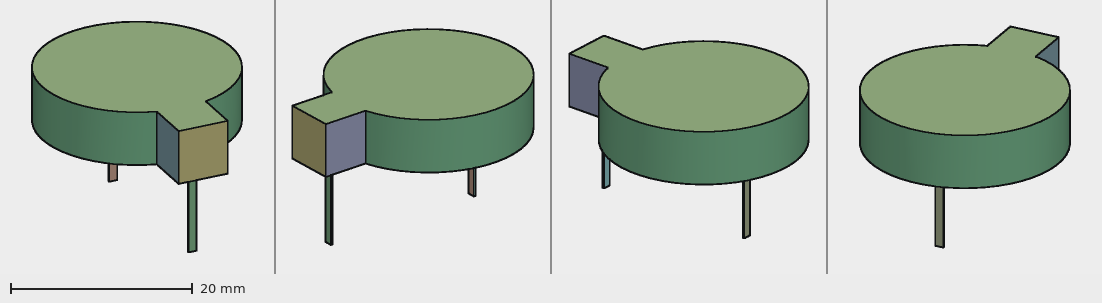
import cadquery as cq

total_length = 28.27
disc_diameter = 23.12
body_height = 6.45
pin_length = 10.0
tab_width = 6.0

pin_thickness = 0.25
pin_width = 1.0
pin_spacing = 20.0
tab_pin_inset = 2.8

disc_radius = disc_diameter / 2
tab_end = total_length - disc_radius
tab_pin_x = tab_end - tab_pin_inset
disc_pin_x = tab_pin_x - pin_spacing


def make_body():
    """Round cell body with a rectangular tab reaching out along +X."""
    disc = cq.Workplane("XY").circle(disc_radius).extrude(body_height)
    tab = cq.Workplane("XY").box(tab_end, tab_width, body_height, centered=(False, True, False))
    return disc.union(tab)


def make_pins():
    """Two flat pins hanging from the underside of the body."""
    return (
        cq.Workplane("XY")
        .pushPoints([(disc_pin_x, 0), (tab_pin_x, 0)])
        .rect(pin_thickness, pin_width)
        .extrude(-pin_length)
    )


result = make_body().union(make_pins())